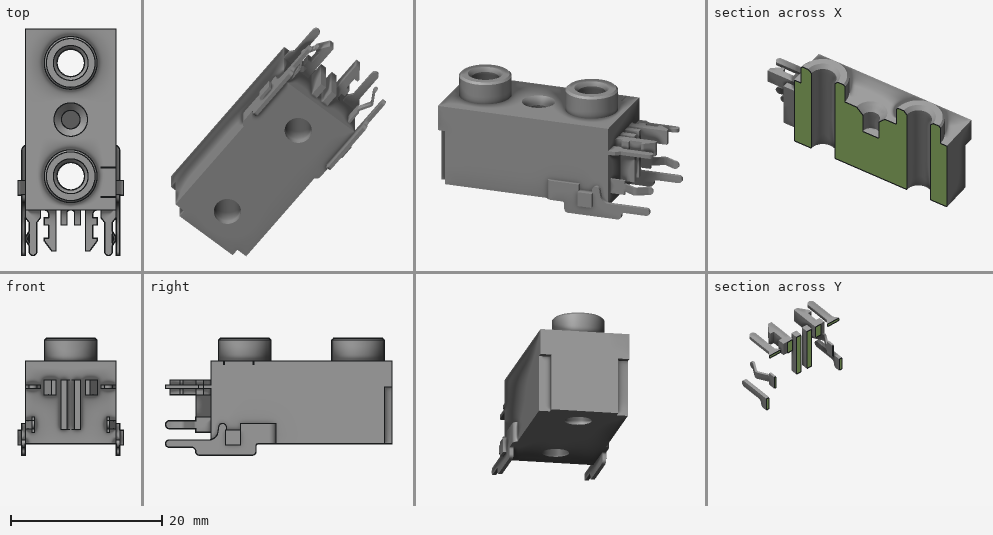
import cadquery as cq
import math


overall_width = 14.0
body_width = 12.0
body_length = 24.0
body_height = 11.0
half_width = body_width / 2

rear_notch_length = 1.0
rear_notch_height = 7.55
rear_notch_width = 1.5

socket_positions = (4.5, 19.5)
socket_diameter = 7.0
socket_height = 3.0
socket_edge_chamfer = 0.27
socket_bore = 3.6
socket_lead_in = 0.5

pilot_position = sum(socket_positions) / 2
pilot_bore = 2.45
pilot_mouth = 4.45
pilot_depth = 3.9

insert_inner_x = 4.0
insert_gap = 0.1
insert_gap_depth = 0.5
insert_gap_positions = (1.7, 5.6)

pin_reach = 6.0

solder_inner_x = insert_inner_x
solder_thickness = 0.5
solder_bottom = 7.32
solder_taper_start = 1.0
solder_taper_length = 0.63
solder_tip_width = 1.02

hook_bottom = 6.5
hook_height = 1.98
hook_inner_x = 1.92
hook_shaft_x = 2.95
hook_outer_x = 3.5
hook_tab_start = 1.0
hook_tab_end = 1.98
hook_barb_start = 3.7
hook_barb_corner = 4.05
hook_reach = 5.4
hook_tip_x = 2.52
hook_root_radius = 0.5

rib_inner_x = 0.48
rib_outer_x = 1.32
rib_length = 1.98
rib_bottom = 1.92
rib_top = hook_bottom + hook_height
rib_root_radius = 0.3

contact_outer_x = 5.13
contact_thickness = 0.3
contact_z = 2.55
contact_base_height = 2.0
contact_base_length = 2.0
contact_strip_height = 1.08
contact_apex_rise = 0.95
contact_bend_start = 2.1
contact_apex = 3.75
contact_bend_end = 2 * contact_apex - contact_bend_start
contact_bend_radius = 0.27
contact_apex_radius = 0.35

plate_thickness = 0.5
plate_top = 2.73
plate_rear = 7.8
bend_radius = 0.9
foot_depth = 1.5
foot_rear = 6.0
foot_front = -2.0
foot_radius = 0.5
foot_rear_root_radius = 0.27
tab_width = 1.0
tab_bottom = -0.45
nub_front = 1.98
nub_size = 1.98
nub_bottom = -0.15
nub_reach = overall_width / 2
finger_y = 1.55
finger_radius = 0.5
sweep_radius = 1.23
sweep_y = -0.27
sweep_lean = math.radians(10)


def box(x_min, x_max, y_min, y_max, z_min, z_max):
    """Axis-aligned block between the given limits."""
    return cq.Workplane("XY").box(
        x_max - x_min, y_max - y_min, z_max - z_min, centered=False
    ).translate((x_min, y_min, z_min))


def plan_prism(outline, z_min, z_max):
    """Closed polygon in plan, extruded upward from z_min to z_max."""
    return cq.Workplane("XY", origin=(0, 0, z_min)).polyline(outline).close().extrude(z_max - z_min)


def round_corner(solid, direction, point, radius):
    """Fillet the edge along the given direction that lies nearest to the point."""
    return solid.edges(direction).edges(cq.selectors.NearestToPointSelector(point)).fillet(radius)


def bore_tool(y, z_top, z_bottom, diameter, lead_in):
    """Vertical hole with a 45 degree lead-in at its mouth, as a solid to subtract."""
    radius = diameter / 2
    profile = [
        (0, z_bottom),
        (radius, z_bottom),
        (radius, z_top - lead_in),
        (radius + lead_in, z_top),
        (0, z_top),
    ]
    return cq.Workplane("XZ").polyline(profile).close().revolve(360, (0, 0), (0, 1)).translate((0, y, 0))


def root_fillet(x, side, radius, z_min, z_max):
    """Concave fillet where a wall at x meets the housing front, on its +X (1) or -X (-1) side."""
    corner = radius * (1 - math.sqrt(0.5))
    return (
        cq.Workplane("XY", origin=(x, 0, z_min))
        .lineTo(side * radius, 0)
        .threePointArc((side * corner, -corner), (0, -radius))
        .close()
        .extrude(z_max - z_min)
    )


def make_housing():
    body = box(-half_width, half_width, 0, body_length, 0, body_height)
    socket_top = body_height + socket_height
    for y in socket_positions:
        socket = (
            cq.Workplane("XY", origin=(0, y, body_height))
            .circle(socket_diameter / 2)
            .extrude(socket_height)
            .faces(">Z")
            .chamfer(socket_edge_chamfer)
        )
        body = body.union(socket)
        body = body.cut(bore_tool(y, socket_top, 0, socket_bore, socket_lead_in))

    pilot_lead_in = (pilot_mouth - pilot_bore) / 2
    pilot_floor = body_height - pilot_depth
    body = body.cut(bore_tool(pilot_position, body_height, pilot_floor, pilot_bore, pilot_lead_in))

    for y in insert_gap_positions:
        body = body.cut(box(insert_inner_x, half_width, y, y + insert_gap,
                            body_height - insert_gap_depth, body_height))

    notch = box(half_width - rear_notch_width, half_width, body_length - rear_notch_length, body_length,
                0, rear_notch_height)
    return body.cut(notch).cut(notch.mirror("YZ"))


def make_solder_pin():
    middle = (solder_inner_x + half_width) / 2
    tip_radius = solder_tip_width / 2
    taper_end = solder_taper_start + solder_taper_length
    return (
        cq.Workplane("XY", origin=(0, 0, solder_bottom))
        .moveTo(solder_inner_x, 0)
        .lineTo(solder_inner_x, -solder_taper_start)
        .lineTo(middle - tip_radius, -taper_end)
        .lineTo(middle - tip_radius, tip_radius - pin_reach)
        .threePointArc((middle, -pin_reach), (middle + tip_radius, tip_radius - pin_reach))
        .lineTo(middle + tip_radius, -taper_end)
        .lineTo(half_width, -solder_taper_start)
        .lineTo(half_width, 0)
        .close()
        .extrude(solder_thickness)
    )


def make_hook():
    outline = [
        (hook_inner_x, 0),
        (hook_shaft_x, 0),
        (hook_shaft_x, -hook_tab_start),
        (hook_outer_x, -hook_tab_start),
        (hook_outer_x, -hook_tab_end),
        (hook_shaft_x, -hook_tab_end),
        (hook_shaft_x, -hook_barb_start),
        (hook_outer_x, -hook_barb_start),
        (hook_outer_x, -hook_barb_corner),
        (hook_tip_x, -hook_reach),
        (hook_inner_x, -hook_reach),
    ]
    top = hook_bottom + hook_height
    hook = plan_prism(outline, hook_bottom, top)
    return hook.union(root_fillet(hook_shaft_x, 1, hook_root_radius, hook_bottom, top))


def make_rib():
    rib = box(rib_inner_x, rib_outer_x, -rib_length, 0, rib_bottom, rib_top)
    return rib.union(root_fillet(rib_inner_x, -1, rib_root_radius, rib_bottom, rib_top))


def make_contact():
    """Sheet-metal contact: its plan outline trimmed to its side silhouette."""
    apex_x = contact_outer_x + contact_apex_rise
    outer_bends = [
        (contact_outer_x, -contact_bend_start),
        (apex_x, -contact_apex),
        (contact_outer_x, -contact_bend_end),
    ]
    slope_angle = math.atan2(contact_apex_rise, contact_apex - contact_bend_start)
    bend_shift = contact_thickness * math.tan(slope_angle / 2)
    inner_x = contact_outer_x - contact_thickness
    inner_bends = [
        (inner_x, -contact_bend_start - bend_shift),
        (apex_x - contact_thickness / math.cos(slope_angle), -contact_apex),
        (inner_x, -contact_bend_end + bend_shift),
    ]
    outer = [(contact_outer_x, 0)] + outer_bends + [(contact_outer_x, -pin_reach)]
    inner = [(inner_x, 0)] + inner_bends + [(inner_x, -pin_reach)]

    z_min = contact_z - contact_base_height / 2
    sheet = plan_prism(outer + inner[::-1], z_min, z_min + contact_base_height)
    wide_bend = contact_bend_radius + contact_thickness
    wide_apex = contact_apex_radius + contact_thickness
    outer_radii = (contact_bend_radius, wide_apex, contact_bend_radius)
    inner_radii = (wide_bend, contact_apex_radius, wide_bend)
    for (x, y), radius in zip(outer_bends + inner_bends, outer_radii + inner_radii):
        sheet = round_corner(sheet, "|Z", (x, y, contact_z), radius)

    strip_radius = contact_strip_height / 2
    base = box(inner_x, apex_x, -contact_base_length, 0, z_min, z_min + contact_base_height)
    strip = box(inner_x, apex_x, strip_radius - pin_reach, -contact_base_length,
                contact_z - strip_radius, contact_z + strip_radius)
    tip = cq.Workplane("YZ", origin=(inner_x, strip_radius - pin_reach, contact_z)).circle(strip_radius)
    silhouette = base.union(strip).union(tip.extrude(apex_x - inner_x))
    return sheet.intersect(silhouette)


def make_shield():
    """Side plate with a solder foot and tab, a curved-in rear edge and a square nub."""
    tab_radius = tab_width / 2
    tab_top = tab_bottom + tab_width
    nub_rear = nub_front + nub_size
    nub_top = nub_bottom + nub_size
    finger_z = plate_top - finger_radius
    finger_rear = finger_y + finger_radius
    sweep_z = tab_top + sweep_radius
    lean_y = math.cos(sweep_lean)
    lean_z = math.sin(sweep_lean)
    sweep_middle = (math.pi / 2 + sweep_lean) / 2

    plate = (
        cq.Workplane("YZ", origin=(half_width, 0, 0))
        .moveTo(plate_rear, 0)
        .lineTo(plate_rear, plate_top)
        .lineTo(nub_rear, plate_top)
        .lineTo(nub_rear, nub_top)
        .lineTo(finger_rear, nub_top)
        .lineTo(finger_rear, finger_z)
        .threePointArc(
            (finger_y, plate_top),
            (finger_y - finger_radius * lean_y, finger_z + finger_radius * lean_z),
        )
        .lineTo(sweep_y + sweep_radius * lean_y, sweep_z - sweep_radius * lean_z)
        .threePointArc(
            (
                sweep_y + sweep_radius * math.cos(sweep_middle),
                sweep_z - sweep_radius * math.sin(sweep_middle),
            ),
            (sweep_y, tab_top),
        )
        .lineTo(tab_radius - pin_reach, tab_top)
        .threePointArc((-pin_reach, tab_bottom + tab_radius), (tab_radius - pin_reach, tab_bottom))
        .lineTo(foot_front, tab_bottom)
        .lineTo(foot_front, -foot_depth)
        .lineTo(foot_rear, -foot_depth)
        .lineTo(foot_rear, 0)
        .close()
        .extrude(plate_thickness)
    )
    foot_corners = [
        (foot_front, tab_bottom, foot_radius),
        (foot_front, -foot_depth, foot_radius),
        (foot_rear, -foot_depth, foot_radius),
        (foot_rear, 0, foot_rear_root_radius),
    ]
    for y, z, radius in foot_corners:
        plate = round_corner(plate, "|X", (half_width + plate_thickness / 2, y, z), radius)

    bend = (
        cq.Workplane("XY", origin=(half_width + plate_thickness - bend_radius, plate_rear, 0))
        .circle(bend_radius)
        .extrude(plate_top)
    )
    nub = box(half_width, nub_reach, nub_front, nub_rear, nub_bottom, nub_top)
    return plate.union(bend).union(nub)


result = make_housing()
for make_feature in (make_solder_pin, make_hook, make_rib, make_contact, make_shield):
    feature = make_feature()
    result = result.union(feature).union(feature.mirror("YZ"))